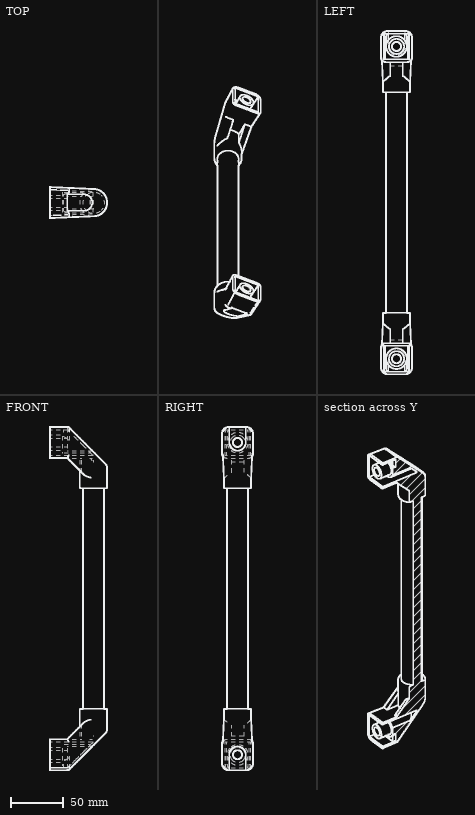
import cadquery as cq
import math

height = 330.0
depth = 55.0
top_z = height / 2

collar_radius = 13.2
collar_end_z = 106.0
collar_edge = 1.0
tube_diameter = 20.5
tube_insertion = 4.3
tube_x = depth - collar_radius

foot_size = 30.0
foot_bottom_z = top_z - foot_size
outer_bend_x = 17.8
inner_bend_x = 16.8
foot_top_fillet = 6.5
edge_fillet = 4.3
prism_top_z = top_z + foot_size

groove_width = 12.2

wall = 2.5
boss_z = top_z - foot_size / 2
boss_diameter = 14.5
hole_diameter = 8.5

slot_floor_x = 16.8
slot_width = 16.0
shell_width = 19.8
shell_front_x = 13.0
shell_front_width = 16.0
shell_flare_length = 6.0
ring_step = 1.0
ring_front_x = shell_front_x - ring_step

half_foot = foot_size / 2
corner_to_tube = math.hypot(tube_x, half_foot)
side_taper = math.atan2(half_foot, tube_x) - math.asin(collar_radius / corner_to_tube)
tangent_x = tube_x + collar_radius * math.sin(side_taper)
tangent_y = collar_radius * math.cos(side_taper)


def outer_slope_z(x, inset=0.0):
    """Height of the 45 degree outer face, moved into the material by inset."""
    return top_z + outer_bend_x - x - inset * math.sqrt(2)


def inner_slope_z(x):
    """Height of the 45 degree inner face of the arm."""
    return foot_bottom_z + inner_bend_x - x


def side_prism(points):
    """Prism of an XZ outline, wider than the bracket and centred on y = 0."""
    return cq.Workplane("XZ").polyline(points).close().extrude(foot_size, both=True)


def plan_prism(inset=0.0):
    """Tall prism with tapered flat sides and a round far end, moved inward by inset."""
    near_y = half_foot - inset
    far_y = tangent_y - inset
    return (
        cq.Workplane("XY")
        .moveTo(0, -near_y)
        .lineTo(tangent_x, -far_y)
        .threePointArc((depth - inset, 0), (tangent_x, far_y))
        .lineTo(0, near_y)
        .close()
        .extrude(prism_top_z)
    )


def rounded_prism(outline, face, radius):
    """Bracket plan cut to an XZ outline, with the long rim of one of its faces rounded."""
    return plan_prism().intersect(side_prism(outline)).faces(face).edges("not |Y").fillet(radius)


def make_arm():
    """Foot and sloped arm: outer faces intersect, inner faces join, all with rounded rims."""
    arm_end_z = inner_slope_z(tangent_x)
    below_top = rounded_prism(
        [(0, 0), (0, top_z), (depth, top_z), (depth, 0)], ">Z", foot_top_fillet
    )
    below_slope = rounded_prism(
        [(0, 0), (0, outer_slope_z(0)), (depth, outer_slope_z(depth)), (depth, 0)],
        ">(1, 0, 1)",
        edge_fillet,
    )
    above_foot_bottom = rounded_prism(
        [(0, foot_bottom_z), (0, prism_top_z), (depth, prism_top_z), (depth, foot_bottom_z)],
        "<Z",
        edge_fillet,
    )
    above_inner_slope = rounded_prism(
        [
            (0, inner_slope_z(0)),
            (0, prism_top_z),
            (depth, prism_top_z),
            (depth, arm_end_z),
            (tangent_x, arm_end_z),
        ],
        "<(1, 0, 1)",
        edge_fillet,
    )
    return below_top.intersect(below_slope).intersect(above_foot_bottom.union(above_inner_slope))


def make_collar():
    """Round socket for the tube, kept below the rounded edges of the arm."""
    collar = (
        cq.Workplane("XY")
        .workplane(offset=collar_end_z)
        .center(tube_x, 0)
        .circle(collar_radius)
        .extrude(foot_size * 2)
        .faces("<Z")
        .edges()
        .fillet(collar_edge)
    )
    below_arm_fillets = side_prism([
        (0, 0),
        (0, outer_slope_z(0, foot_top_fillet)),
        (depth, outer_slope_z(depth, foot_top_fillet)),
        (depth, 0),
    ])
    return collar.intersect(below_arm_fillets)


def x_cylinder(diameter, start_x, end_x):
    """Round bar along X on the screw axis."""
    return (
        cq.Workplane("YZ", origin=(start_x, 0, boss_z))
        .circle(diameter / 2)
        .extrude(end_x - start_x)
    )


def upright_bar(width, start_x):
    """Rectangular bar along X, upward from the screw axis."""
    return cq.Workplane("XY", origin=(start_x, 0, boss_z)).box(
        depth - start_x, width, foot_size, centered=(False, True, False)
    )


def make_slot_shell():
    """Material left in the cavity around the screw head slot, with a ring behind the boss."""
    flare = (shell_width - shell_front_width) / 2
    upper = (
        upright_bar(shell_width, shell_front_x)
        .faces("<X")
        .edges("|Z")
        .chamfer(flare, shell_flare_length)
    )
    return upper.union(x_cylinder(shell_width, ring_front_x, depth))


def make_head_slot():
    """U-shaped recess for the screw head."""
    return upright_bar(slot_width, slot_floor_x).union(x_cylinder(slot_width, slot_floor_x, depth))


def make_cavity():
    """Hollow of the foot, closed at the back by the inside of the sloped outer wall."""
    floor_z = foot_bottom_z + wall
    ceiling_z = top_z - wall
    bend_x = outer_slope_z(0, wall) - ceiling_z
    back_x = outer_slope_z(0, wall) - floor_z
    profile = side_prism([(0, floor_z), (0, ceiling_z), (bend_x, ceiling_z), (back_x, floor_z)])
    return (
        plan_prism(wall)
        .intersect(profile)
        .cut(x_cylinder(boss_diameter, 0, slot_floor_x))
        .cut(make_slot_shell())
    )


def make_bracket():
    """Complete upper bracket."""
    groove = cq.Workplane("XY").box(
        tube_x, groove_width, foot_bottom_z, centered=(False, True, False)
    )
    return (
        make_arm()
        .cut(groove)
        .union(make_collar())
        .cut(make_cavity())
        .cut(make_head_slot())
        .cut(x_cylinder(hole_diameter, 0, depth))
    )


upper_bracket = make_bracket()
lower_bracket = upper_bracket.mirror("XY")
tube = (
    cq.Workplane("XY")
    .center(tube_x, 0)
    .circle(tube_diameter / 2)
    .extrude(collar_end_z + tube_insertion, both=True)
)
result = tube.union(upper_bracket).union(lower_bracket)